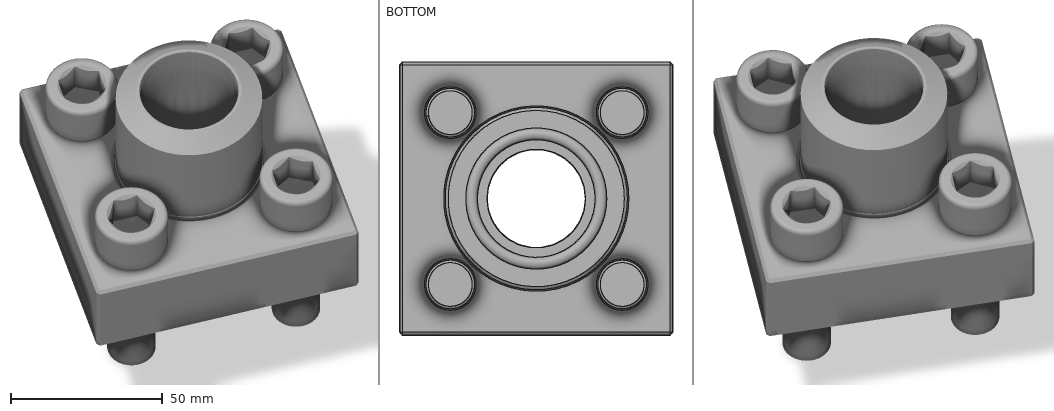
import cadquery as cq
import math

flange_side = 90.0
flange_thickness = 29.0
flange_chamfer = 1.0
flange_bore_dia = 49.5
bore_chamfer = 1.0
collar_recess_dia = 61.0
screw_hole_dia = 17.0
bolt_circle_dia = 80.0
screw_count = 4
first_screw_angle = 45.0

pipe_dia = 48.3
pipe_bore_dia = 32.5
pipe_bore_length = 18.5
pipe_bore_chamfer = 0.25
collar_bore_dia = 32.3
neck_dia = 49.0
neck_protrusion = 0.5
pipe_height = 37.0
bevel_angle = 30.0
lip_width = 0.75
collar_dia = 60.0
collar_thickness = 12.0
collar_chamfer = 1.0
collar_protrusion = 2.3

groove_inner_dia = 38.7
groove_outer_dia = 46.47
seal_protrusion = 0.7

screw_dia = 16.0
screw_length = 55.0
screw_tip_chamfer = 0.8
head_dia = 24.0
head_height = 16.0
head_fillet = 1.6
socket_sides = 6
socket_width = 14.0
socket_depth = 11.0
socket_sink_angle = 45.0

flange_top = flange_thickness
pipe_top = flange_top + pipe_height
neck_top = flange_top + neck_protrusion
pipe_bore_bottom = pipe_top - pipe_bore_length
collar_bottom = -collar_protrusion
collar_top = collar_bottom + collar_thickness
lip_inner_radius = pipe_bore_dia / 2 + pipe_bore_chamfer
lip_outer_radius = lip_inner_radius + lip_width
bevel_height = (pipe_dia / 2 - lip_outer_radius) * math.tan(math.radians(bevel_angle))
seal_cord_dia = (groove_outer_dia - groove_inner_dia) / 2
seal_mean_radius = (groove_outer_dia + groove_inner_dia) / 4
groove_depth = seal_cord_dia - seal_protrusion
socket_corner_dia = socket_width / math.cos(math.pi / socket_sides)


def cylinder(diameter, bottom, height):
    """Cylinder on the Z axis."""
    return cq.Workplane("XY").workplane(offset=bottom).circle(diameter / 2).extrude(height)


def make_flange():
    flange = (
        cq.Workplane("XY")
        .box(flange_side, flange_side, flange_thickness, centered=(True, True, False))
        .edges()
        .chamfer(flange_chamfer)
    )
    flange = flange.cut(cylinder(flange_bore_dia, 0, flange_thickness))
    flange = flange.cut(cylinder(collar_recess_dia, 0, collar_top))
    bore_edge = cq.selectors.RadiusNthSelector(0)
    flange = flange.faces(">Z").edges("%CIRCLE").edges(bore_edge).chamfer(bore_chamfer)
    screw_holes = (
        cq.Workplane("XY")
        .polarArray(bolt_circle_dia / 2, first_screw_angle, 360, screw_count)
        .circle(screw_hole_dia / 2)
        .extrude(flange_thickness)
    )
    return flange.cut(screw_holes)


def make_nipple():
    outline = [
        (collar_bore_dia / 2, collar_bottom),
        (collar_dia / 2 - collar_chamfer, collar_bottom),
        (collar_dia / 2, collar_bottom + collar_chamfer),
        (collar_dia / 2, collar_top),
        (neck_dia / 2, collar_top),
        (neck_dia / 2, neck_top),
        (pipe_dia / 2, neck_top),
        (pipe_dia / 2, pipe_top - bevel_height),
        (lip_outer_radius, pipe_top),
        (lip_inner_radius, pipe_top),
        (pipe_bore_dia / 2, pipe_top - pipe_bore_chamfer),
        (pipe_bore_dia / 2, pipe_bore_bottom),
    ]
    nipple = cq.Workplane("XZ").polyline(outline).close().revolve(360, (0, 0), (0, 1))
    groove = cylinder(groove_outer_dia, collar_bottom, groove_depth).cut(
        cylinder(groove_inner_dia, collar_bottom, groove_depth)
    )
    return nipple.cut(groove)


def make_seal_ring():
    cord_centre = collar_bottom - seal_protrusion + seal_cord_dia / 2
    return (
        cq.Workplane("XZ")
        .center(seal_mean_radius, cord_centre)
        .circle(seal_cord_dia / 2)
        .revolve(360, (-seal_mean_radius, 0), (-seal_mean_radius, 1))
    )


def make_screw():
    """Screw on the Z axis, with its head bearing on z = 0."""
    head = cylinder(head_dia, 0, head_height)
    head = head.faces("|Z").edges().fillet(head_fillet)
    shank = cylinder(screw_dia, -screw_length, screw_length)
    shank = shank.faces("<Z").edges().chamfer(screw_tip_chamfer)
    socket = (
        cq.Workplane("XY")
        .workplane(offset=head_height - socket_depth)
        .polygon(socket_sides, socket_corner_dia)
        .extrude(socket_depth)
    )
    sink_radius = socket_corner_dia / 2
    sink_depth = sink_radius * math.tan(math.radians(socket_sink_angle))
    sink = cq.Workplane(
        cq.Solid.makeCone(0, sink_radius, sink_depth, pnt=cq.Vector(0, 0, head_height - sink_depth))
    )
    return head.union(shank).cut(socket).cut(sink)


flange = make_flange()
nipple = make_nipple()
seal_ring = make_seal_ring()

first_angle = math.radians(first_screw_angle)
bolt_radius = bolt_circle_dia / 2
first_screw = make_screw().translate(
    (bolt_radius * math.cos(first_angle), bolt_radius * math.sin(first_angle), flange_top)
)
screws = [
    first_screw.rotate((0, 0, 0), (0, 0, 1), index * 360 / screw_count)
    for index in range(screw_count)
]

result = cq.Compound.makeCompound(
    [flange.val(), nipple.val(), seal_ring.val()] + [screw.val() for screw in screws]
)